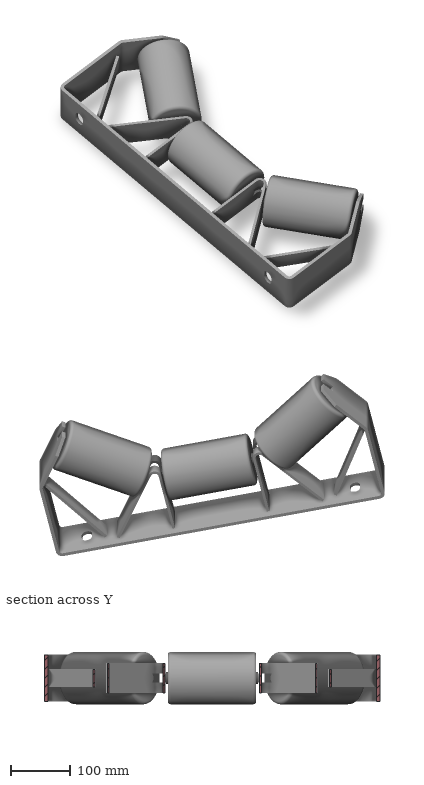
import cadquery as cq
import math


tilt = 35.0
frame_length = 570.0
frame_width = 80.0
frame_thickness = 5.5
frame_bend_radius = 11.0
bracket_width = 50.0
bracket_thickness = 4.5
bracket_bend_radius = 11.5
roller_diameter = 89.0
roller_length = 150.0
roller_fillet = 5.0
roller_gap = 4.5
spindle_diameter = 20.0
spindle_flats = 15.0
spindle_shoulder = 3.0
centre_roller_y = 99.0
wing_roller_x = -174.0
wing_roller_y = 155.0
tail_above_axis = 29.5
tail_corner_length = 30.0
tail_corner_depth = 16.5
mount_slot_x = 232.5
mount_slot_width = 17.5
mount_slot_height = 27.0
brace_tilt = 32.0
brace_foot_x = -201.0
brace_width = 30.0
brace_thickness = 5.0

tilt_rad = math.radians(tilt)
axis_dir = cq.Vector(-math.cos(tilt_rad), math.sin(tilt_rad), 0)
strip_dir = cq.Vector(math.sin(tilt_rad), math.cos(tilt_rad), 0)

wing_point = cq.Vector(wing_roller_x, wing_roller_y, 0)
centre_point = cq.Vector(0, centre_roller_y, 0)
strip_reach = roller_length / 2 + roller_gap
slot_length = 2 * tail_above_axis
slot_depth = 2 * bracket_bend_radius


def point_at_x(start, direction, x):
    """Point of a line in the XY plane that has the given X."""
    return start + direction * ((x - start.x) / direction.x)


def point_at_y(start, direction, y):
    """Point of a line in the XY plane that has the given Y."""
    return start + direction * ((y - start.y) / direction.y)


def bent_strip(points, bend_radius, thickness, width):
    """Strip standing along Z whose middle line follows the points, rounded at each bend."""
    path = cq.Wire.makePolygon(points)
    path = path.fillet(bend_radius - thickness / 2, path.Vertices()[1:-1])
    start = cq.Plane(points[0], xDir=(0, 0, 1), normal=points[1] - points[0])
    return cq.Workplane(start).rect(width, thickness).sweep(cq.Workplane(path))


def spindle_slot(centre, axis, up):
    """Cutter for a slot that ends round below the spindle and runs up past the strip end."""
    plane = cq.Plane(centre - axis * (slot_depth / 2), xDir=up, normal=axis)
    band = cq.Workplane(plane).rect(2 * slot_length, spindle_flats).extrude(slot_depth)
    seat = cq.Workplane(plane).circle(spindle_diameter / 2).extrude(slot_depth).intersect(band)
    run = cq.Workplane(plane).rect(slot_length, spindle_flats, centered=(False, True))
    return run.extrude(slot_depth).union(seat)


def mirrored(body):
    return body.mirror("YZ")


def make_frame():
    half = frame_thickness / 2
    wall_x = -frame_length / 2 + half
    tail_middle = wing_point + axis_dir * (strip_reach + half)
    tail_end = tail_middle + strip_dir * tail_above_axis
    left = [
        tail_end,
        point_at_x(tail_middle, strip_dir, wall_x),
        cq.Vector(wall_x, half, 0),
    ]
    right = [cq.Vector(-p.x, p.y, 0) for p in reversed(left)]
    frame = bent_strip(left + right, frame_bend_radius, frame_thickness, frame_width)

    slot = spindle_slot(tail_middle, axis_dir, strip_dir)
    frame = frame.cut(slot).cut(mirrored(slot))

    corner_plane = cq.Plane(tail_end - axis_dir * frame_thickness, xDir=strip_dir, normal=axis_dir)
    for end in (-1, 1):
        edge = end * frame_width / 2
        corner = (
            cq.Workplane(corner_plane)
            .polyline([(-tail_corner_length, edge), (0, edge), (0, edge - end * tail_corner_depth)])
            .close()
            .extrude(2 * frame_thickness)
        )
        frame = frame.cut(corner).cut(mirrored(corner))

    mount_slots = (
        cq.Workplane("XZ")
        .pushPoints([(-mount_slot_x, 0), (mount_slot_x, 0)])
        .slot2D(mount_slot_height, mount_slot_width, 90)
        .extrude(-frame_thickness)
    )
    return frame.cut(mount_slots)


def make_left_bracket():
    half = bracket_thickness / 2
    upright_middle = cq.Vector(-strip_reach - half, centre_roller_y, 0)
    sloped_middle = wing_point - axis_dir * (strip_reach + half)
    foot_y = frame_thickness + half * math.sin(tilt_rad)
    points = [
        cq.Vector(upright_middle.x, frame_thickness, 0),
        point_at_x(sloped_middle, strip_dir, upright_middle.x),
        point_at_y(sloped_middle, strip_dir, foot_y),
    ]
    bracket = bent_strip(points, bracket_bend_radius, bracket_thickness, bracket_width)

    up = cq.Vector(0, 1, 0)
    upright_slot = spindle_slot(upright_middle, cq.Vector(1, 0, 0), up)
    sloped_slot = spindle_slot(sloped_middle, axis_dir, strip_dir)
    return bracket.cut(upright_slot).cut(sloped_slot)


def make_left_brace():
    angle = math.radians(brace_tilt)
    wall_x = -frame_length / 2 + frame_thickness
    length = (brace_foot_x - wall_x) / math.sin(angle)
    plane = cq.Plane(
        (brace_foot_x, frame_thickness, -brace_width / 2),
        xDir=(-math.sin(angle), math.cos(angle), 0),
        normal=(0, 0, 1),
    )
    bar = cq.Workplane(plane).rect(length, -brace_thickness, centered=False)
    return bar.extrude(brace_width)


def make_roller(centre, axis, thickness_ahead, thickness_behind):
    """The spindle ends flush with the far face of the strip at each end."""
    across = cq.Vector(-axis.y, axis.x, 0)

    def along(distance):
        return cq.Workplane(cq.Plane(centre + axis * distance, xDir=across, normal=axis))

    body = along(-roller_length / 2).circle(roller_diameter / 2).extrude(roller_length)
    roller = body.edges("%CIRCLE").fillet(roller_fillet)

    round_reach = roller_length / 2 + spindle_shoulder
    roller = roller.union(along(-round_reach).circle(spindle_diameter / 2).extrude(2 * round_reach))

    start = -strip_reach - thickness_behind
    flat_length = strip_reach + thickness_ahead - start
    flats = along(start).rect(spindle_diameter, spindle_flats).extrude(flat_length)
    spindle = along(start).circle(spindle_diameter / 2).extrude(flat_length)
    return roller.union(spindle.intersect(flats))


frame = make_frame()
centre_roller = make_roller(centre_point, cq.Vector(1, 0, 0), bracket_thickness, bracket_thickness)
left_parts = [
    make_left_bracket(),
    make_left_brace(),
    make_roller(wing_point, axis_dir, frame_thickness, bracket_thickness),
]
side_parts = []
for part in left_parts:
    side_parts.append(part.val())
    side_parts.append(mirrored(part).val())

result = cq.Compound.makeCompound([frame.val(), centre_roller.val(), *side_parts])